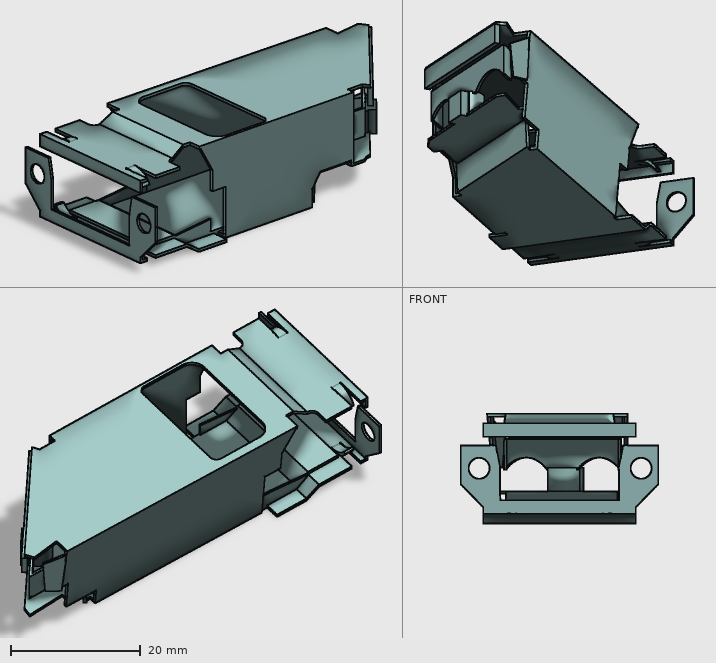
import cadquery as cq
import math


sheet = 0.5
thin_sheet = 0.43
height = 17.0
length = 63.84

left_edge_front_x = -11.15
left_edge_rear_x = -10.7
left_wall_yaw = 0.58
left_wall_top_x = -11.2
left_wall_bottom_x = -9.7
right_wall_x = 10.5
top_front_y = 13.2
left_rear_y = 57.6
flap_bend_slant = 1.0
right_rear_y = 44.8
right_tail_end_y = 47.0
wall_shoulder_z = 8.65
wall_front_y = 18.95
right_wall_front_y = 18.55

tip_x = -7.25
corner_x = 10.2
corner_y = 49.0
diagonal_length = math.hypot(corner_x - tip_x, corner_y - length)
along_x = (corner_x - tip_x) / diagonal_length
along_y = (corner_y - length) / diagonal_length
along = (along_x, along_y, 0)
inward = (along_y, -along_x, 0)

flange_bottom_z = 13.35
rear_wall_bottom_z = 8.3
rear_wall_top_z = 13.1
rear_wall_depth = 1.2
leaf_left_x = -8.6
leaf_right_x = 9.5
leaf_front_y = 60.7
arch_radius = 5.95
arch_top_z = 10.2
arch_xs = (-4.95, 6.3)
ledge_top_z = 5.0
ledge_sheet = 0.4
lower_wall_depth = 9.2
lower_wall_lean = 0.25
lower_wall_left_x = -8.1
lower_wall_right_x = 9.1
step_z = 3.1
left_floor_end_y = 51.1
right_floor_end_y = 36.3

clamp_half_width = 11.8
lower_tongue_z = 1.55
upper_tongue_top_z = 15.5
lower_bend_y = (9.5, 11.95)
upper_bend_y = (9.35, 11.8)
wing_end_y = 17.65
pad_front_y = 3.65
pad_left_x = -9.0
pad_right_x = 8.8
neck_half_width = 8.3
neck_root_half_width = 8.7
upper_tongue_end_y = 8.1
notch_y = (1.4, 3.1)
notch_half_width = 6.7
tab_half_width = 10.3
lip_bottom_z = 13.4
lower_tab_top_z = 3.65


def plate(points, bottom_z, thickness):
    """Flat plate with an XY outline."""
    return cq.Workplane("XY").workplane(offset=bottom_z).polyline(points).close().extrude(thickness)


def side_profile(points, x_start, x_end):
    """YZ outline extruded along X."""
    return cq.Workplane("YZ").workplane(offset=x_start).polyline(points).close().extrude(x_end - x_start)


def box(x_range, y_range, z_range):
    size = [end - start for start, end in (x_range, y_range, z_range)]
    return cq.Workplane("XY").box(*size, centered=False).translate((x_range[0], y_range[0], z_range[0]))


def diagonal_point(x, depth):
    """XY point at the given x on a line parallel to the rear face, set inward by depth."""
    y = length + ((x - tip_x) * along_y - depth) / along_x
    return (x, y)


def diagonal_distance(x, depth):
    """Distance along the rear face, from the tip, of the point at x on a line set inward by depth."""
    return (x - tip_x - inward[0] * depth) / along_x


def diagonal_plane(depth=0):
    """Plane set inward from the rear face: local x runs along it, local y is Z, extrusion goes inward."""
    origin = (tip_x + inward[0] * depth, length + inward[1] * depth, 0)
    return cq.Workplane(cq.Plane(origin=origin, xDir=along, normal=inward))


def left_wall_x(z, y=top_front_y):
    """Outer face of the left wall, which leans inward towards the floor and towards the rear."""
    lean = (left_wall_top_x - left_wall_bottom_x) * z / height
    return left_wall_bottom_x + lean + (y - top_front_y) * math.tan(math.radians(left_wall_yaw))


def top_sheet():
    top_left_x = -8.0
    tip_left = (-8.7, 62.4)
    right_notch_x = 9.1
    right_notch_rear_y = 47.8
    sheet_points = [
        (left_edge_front_x, top_front_y),
        (right_wall_x, top_front_y),
        (right_wall_x, right_rear_y),
        (right_notch_x, right_rear_y),
        (right_notch_x, right_notch_rear_y),
        diagonal_point(corner_x, thin_sheet),
        diagonal_point(tip_x, thin_sheet),
        tip_left,
        (top_left_x, left_rear_y),
        (left_edge_rear_x, left_rear_y),
    ]
    return plate(sheet_points, height - sheet, sheet).cut(top_window())


def top_window():
    x_range = (-9.5, 9.95)
    y_range = (17.0, 27.95)
    front_radius = 2.3
    rear_radius = 1.2
    window = box(x_range, y_range, (height - 2 * sheet, height + sheet))
    window = window.edges("|Z and <Y").fillet(front_radius)
    return window.edges("|Z and >Y").edges("<X or >X").fillet(rear_radius)


def wall_front_edge(front_y):
    """Front edge of a side wall from the floor up to the top sheet."""
    cheek_y = 15.9
    cheek_z = 12.2
    return [
        (front_y, 0),
        (front_y, wall_shoulder_z),
        (cheek_y, wall_shoulder_z),
        (cheek_y, cheek_z),
        (top_front_y, height),
    ]


def left_wall():
    upper_rear_y = 56.9
    flap_bottom_y = left_rear_y + flap_bend_slant
    outline = wall_front_edge(wall_front_y) + [
        (left_rear_y, height),
        (flap_bottom_y, wall_shoulder_z),
        (upper_rear_y, wall_shoulder_z),
        (upper_rear_y, step_z),
        (left_floor_end_y, step_z),
        (left_floor_end_y, 0),
    ]
    section = [
        (left_wall_x(0), 0),
        (left_wall_x(height), height),
        (left_wall_x(height) + sheet, height),
        (left_wall_x(0) + sheet, 0),
    ]
    leaning_wall = cq.Workplane("XZ").polyline(section).close().extrude(-length)
    pivot = (left_wall_top_x, top_front_y, 0)
    pivot_top = (left_wall_top_x, top_front_y, height)
    leaning_wall = leaning_wall.rotate(pivot, pivot_top, -left_wall_yaw)
    return side_profile(outline, left_wall_top_x - sheet, 0).intersect(leaning_wall)


def right_wall():
    cutout_y = 38.0
    cutout_z = 5.6
    outline = wall_front_edge(right_wall_front_y) + [
        (right_rear_y, height),
        (right_rear_y, ledge_top_z),
        (right_tail_end_y, ledge_top_z),
        (right_tail_end_y, ledge_top_z - ledge_sheet),
        (right_rear_y - sheet, ledge_top_z - ledge_sheet),
        (right_rear_y - sheet, cutout_z),
        (cutout_y, cutout_z),
        (right_floor_end_y, step_z),
        (right_floor_end_y, 0),
    ]
    return side_profile(outline, right_wall_x - sheet, right_wall_x)


def left_flap():
    """End of the left wall folded inward on a slanted bend."""
    bend_top_z = 16.0
    outer_top_z = 14.2
    wall_overlap = 0.05
    bend_x = left_wall_x(bend_top_z, left_rear_y) + wall_overlap
    bend_top = cq.Vector(bend_x, left_rear_y, bend_top_z)
    bend_bottom = cq.Vector(bend_x, left_rear_y + flap_bend_slant, wall_shoulder_z)
    outer_top = cq.Vector(leaf_left_x, leaf_front_y, outer_top_z)
    bend = bend_bottom - bend_top
    normal = bend.cross(outer_top - bend_top)
    outer_bottom_x = bend_x - normal.y * (leaf_front_y - bend_bottom.y) / normal.x
    outer_bottom = cq.Vector(outer_bottom_x, leaf_front_y, wall_shoulder_z)
    plane = cq.Plane(origin=bend_top, xDir=bend, normal=normal)
    corners = [plane.toLocalCoords(point) for point in (bend_top, bend_bottom, outer_bottom, outer_top)]
    return cq.Workplane(plane).polyline([(p.x, p.y) for p in corners]).close().extrude(thin_sheet)


def top_flange():
    """Rim turned down from the top sheet along the rear face."""
    rim_height = height - sheet - flange_bottom_z
    rim = diagonal_plane().rect(diagonal_length, rim_height, centered=False).extrude(2 * thin_sheet)
    return rim.translate((0, 0, flange_bottom_z))


def rear_wall():
    """Diagonal wall below the rim with two cable arches and a leaf turned forward at each end."""
    wall_height = rear_wall_top_z - rear_wall_bottom_z
    back_depth = rear_wall_depth + thin_sheet
    wall = plate(
        [
            diagonal_point(leaf_left_x, rear_wall_depth),
            diagonal_point(leaf_right_x, rear_wall_depth),
            diagonal_point(leaf_right_x, back_depth),
            diagonal_point(leaf_left_x, back_depth),
        ],
        rear_wall_bottom_z,
        wall_height,
    )
    for arch_x in arch_xs:
        arch = diagonal_plane().center(diagonal_distance(arch_x, rear_wall_depth), arch_top_z - arch_radius)
        wall = wall.cut(arch.circle(arch_radius).extrude(2 * back_depth))
    z_range = (rear_wall_bottom_z, rear_wall_top_z)
    left_end_y = diagonal_point(leaf_left_x, back_depth)[1]
    right_end_y = diagonal_point(leaf_right_x, rear_wall_depth)[1]
    left_leaf = box((leaf_left_x, leaf_left_x + thin_sheet), (leaf_front_y - sheet, left_end_y), z_range)
    right_leaf = box((leaf_right_x - thin_sheet, leaf_right_x), (right_rear_y - sheet, right_end_y), z_range)
    return wall.union(left_leaf).union(right_leaf)


def post():
    """Round post between the arches, backed by a flat pad that stands proud of the rear face."""
    centre = (0.7, 54.9)
    radius = 2.55
    pad_proud = 0.65
    pad_length = 4.0
    pad_depth = 1.6
    base_z = ledge_top_z - ledge_sheet
    post_height = wall_shoulder_z - base_z
    cylinder = cq.Workplane("XY").center(*centre).circle(radius).extrude(post_height)
    keep = diagonal_plane(pad_proud).rect(diagonal_length, height, centered=False).extrude(lower_wall_depth)
    pad_middle = (centre[0] - tip_x) * along_x + (centre[1] - length) * along_y
    pad = diagonal_plane(-pad_proud).center(pad_middle - pad_length / 2, 0)
    pad = pad.rect(pad_length, post_height, centered=False).extrude(pad_depth)
    return cylinder.intersect(keep).union(pad).translate((0, 0, base_z))


def ledge():
    """Shelf between the lower rear wall and the rear face."""
    tip_left = (-8.9, 63.5)
    notch_x = -8.5
    notch_y_start = 56.9
    inner_left_x = left_wall_x(ledge_top_z, notch_y_start) + sheet / 4
    right_chamfer_end = (9.9, 47.9)
    right_corner_x = 9.6
    shelf_points = [
        (inner_left_x, diagonal_point(lower_wall_left_x, lower_wall_depth)[1]),
        diagonal_point(lower_wall_left_x, lower_wall_depth),
        diagonal_point(lower_wall_right_x, lower_wall_depth),
        (lower_wall_right_x, right_rear_y - sheet),
        (right_wall_x, right_rear_y - sheet),
        (right_wall_x, right_tail_end_y),
        right_chamfer_end,
        diagonal_point(right_corner_x, thin_sheet),
        diagonal_point(tip_x, thin_sheet),
        tip_left,
        (notch_x, notch_y_start),
        (inner_left_x, notch_y_start),
    ]
    return plate(shelf_points, ledge_top_z - ledge_sheet, ledge_sheet)


def lower_rear_wall():
    start = diagonal_distance(lower_wall_left_x, lower_wall_depth)
    end = diagonal_distance(lower_wall_right_x, lower_wall_depth)
    backward = tuple(-value for value in along)
    plane = cq.Plane(origin=(tip_x, length, 0), xDir=inward, normal=backward)
    section = [
        (lower_wall_depth, 0),
        (lower_wall_depth + sheet, 0),
        (lower_wall_depth + sheet - lower_wall_lean, ledge_top_z),
        (lower_wall_depth - lower_wall_lean, ledge_top_z),
    ]
    wall = cq.Workplane(plane).workplane(offset=-end).polyline(section).close()
    return wall.extrude(end - start)


def floor():
    floor_points = [
        (pad_left_x, wing_end_y),
        (pad_right_x, wing_end_y),
        (pad_right_x, right_wall_front_y),
        (right_wall_x, right_wall_front_y),
        (right_wall_x, right_floor_end_y),
        (lower_wall_right_x, right_floor_end_y),
        diagonal_point(lower_wall_right_x, lower_wall_depth),
        diagonal_point(lower_wall_left_x, lower_wall_depth),
        (lower_wall_left_x, left_floor_end_y),
        (left_wall_x(0, left_floor_end_y), left_floor_end_y),
        (left_wall_x(0, wall_front_y), wall_front_y),
        (pad_left_x, wall_front_y),
    ]
    return plate(floor_points, 0, sheet)


def lower_profile(front_y, rear_y, base_z):
    """YZ outline of one sheet stepping down from the tongue to the floor."""
    bend_start, bend_end = lower_bend_y
    raised_z = base_z + lower_tongue_z
    return [
        (front_y, raised_z),
        (bend_start, raised_z),
        (bend_end, base_z),
        (rear_y, base_z),
        (rear_y, base_z + sheet),
        (bend_end, base_z + sheet),
        (bend_start, raised_z + sheet),
        (front_y, raised_z + sheet),
    ]


def lower_tongue():
    """Wide lower sheet with an inner sheet lying on it that runs back to the lower rear wall."""
    outer = side_profile(lower_profile(0, wing_end_y, 0), -clamp_half_width, clamp_half_width)
    inner = side_profile(lower_profile(pad_front_y, length, sheet), pad_left_x, pad_right_x)
    rear_corner_x = -6.0
    rear_corner = diagonal_point(rear_corner_x, lower_wall_depth + sheet / 2)
    pad_points = [
        (pad_left_x, pad_front_y),
        (pad_right_x, pad_front_y),
        diagonal_point(pad_right_x, lower_wall_depth + sheet / 2),
        rear_corner,
        (pad_left_x, rear_corner[1]),
    ]
    return tongue_notches(outer).union(inner.intersect(plate(pad_points, 0, height)))


def gussets():
    """Low webs that rise along both edges of the inner sheet between the tongue and the walls."""
    web_sheet = 0.3
    web_rear_y = 17.0
    front_y, low_y = lower_bend_y
    front_z = lower_tongue_z + 2 * sheet
    web = [(front_y, front_z - sheet / 2), (low_y, sheet), (web_rear_y, sheet), (web_rear_y, step_z)]
    left = side_profile(web, pad_left_x - web_sheet, pad_left_x)
    right = side_profile(web, pad_right_x - web_sheet, pad_right_x)
    extension_y = (web_rear_y, wall_front_y + sheet)
    left_extension = box((pad_left_x - web_sheet, pad_left_x), extension_y, (0, step_z))
    return left.union(right).union(left_extension)


def tongue_notches(tongue):
    for side_start in (-clamp_half_width, notch_half_width):
        side_end = side_start + clamp_half_width - notch_half_width
        tongue = tongue.cut(box((side_start, side_end), notch_y, (0, height)))
    return tongue


def upper_tongue():
    """Neck bent down from the top sheet, widening into a tongue with a turned-down lip."""
    neck_fillet = 1.2
    neck_end_y = top_front_y + sheet
    bend_start, bend_end = upper_bend_y
    profile = [
        (0, upper_tongue_top_z),
        (bend_start, upper_tongue_top_z),
        (bend_end, height),
        (neck_end_y, height),
        (neck_end_y, height - sheet),
        (bend_end, height - sheet),
        (bend_start, upper_tongue_top_z - sheet),
        (thin_sheet, upper_tongue_top_z - sheet),
        (thin_sheet, lip_bottom_z),
        (0, lip_bottom_z),
    ]
    half_outline = [
        (clamp_half_width, 0),
        (clamp_half_width, upper_tongue_end_y),
        (neck_root_half_width, upper_tongue_end_y),
        (neck_half_width, bend_end),
        (neck_half_width, neck_end_y),
    ]
    other_half = [(-x, y) for x, y in reversed(half_outline)]
    outline = plate(half_outline + other_half, 0, height)
    inner_corners = cq.selectors.BoxSelector(
        (-neck_root_half_width - sheet, upper_tongue_end_y - sheet, 0),
        (neck_root_half_width + sheet, upper_tongue_end_y + sheet, height),
    )
    outline = outline.edges("|Z").edges(inner_corners).fillet(neck_fillet)
    tongue = side_profile(profile, -clamp_half_width, clamp_half_width).intersect(outline)
    return tongue_notches(tongue)


def curled_tab(root_z, tip_z):
    """Tab in the right notch that curls from the tongue face at root_z to tip_z."""
    shoulder_inset = 1.2
    drop_fraction = 0.3
    inner_shift = 0.3
    front_gap = 0.15
    rear_overlap = 0.1
    start_y = notch_y[0] + front_gap
    end_y = notch_y[1] + rear_overlap
    inset = math.copysign(sheet, tip_z - root_z)
    outer_mid = (tab_half_width - shoulder_inset, root_z + drop_fraction * (tip_z - root_z))
    inner_mid = (outer_mid[0] - inner_shift, outer_mid[1] + inset)
    section = (
        cq.Workplane("XZ", origin=(0, end_y, 0))
        .moveTo(notch_half_width, root_z)
        .threePointArc(outer_mid, (tab_half_width, tip_z))
        .lineTo(tab_half_width - sheet, tip_z)
        .threePointArc(inner_mid, (notch_half_width, root_z + inset))
        .close()
    )
    return section.extrude(end_y - start_y)


def tabs():
    upper = curled_tab(upper_tongue_top_z, lip_bottom_z)
    lower = curled_tab(lower_tongue_z, lower_tab_top_z)
    right = upper.union(lower)
    return right.union(right.mirror("YZ"))


def mounting_flange():
    half_width = 15.25
    top_z = 12.1
    ear_bottom_z = 6.1
    ear_root_z = 2.55
    opening_half_width = 9.15
    opening_bottom_z = 3.65
    opening_top_half_width = 9.8
    hole_xs = (-12.4, 12.6)
    hole_z = 8.55
    hole_diameter = 3.2
    half_outline = [
        (clamp_half_width, lower_tongue_z),
        (clamp_half_width, ear_root_z),
        (half_width, ear_bottom_z),
        (half_width, top_z),
        (opening_top_half_width, top_z),
        (opening_half_width, wall_shoulder_z),
        (opening_half_width, opening_bottom_z),
    ]
    other_half = [(-x, z) for x, z in reversed(half_outline)]
    flange = cq.Workplane("XZ").polyline(half_outline + other_half).close().extrude(-thin_sheet)
    holes = cq.Workplane("XZ").pushPoints([(hole_x, hole_z) for hole_x in hole_xs])
    return flange.cut(holes.circle(hole_diameter / 2).extrude(-thin_sheet))


result = top_sheet()
for feature in (
    left_wall,
    right_wall,
    left_flap,
    top_flange,
    rear_wall,
    post,
    ledge,
    lower_rear_wall,
    floor,
    lower_tongue,
    gussets,
    upper_tongue,
    tabs,
    mounting_flange,
):
    result = result.union(feature())